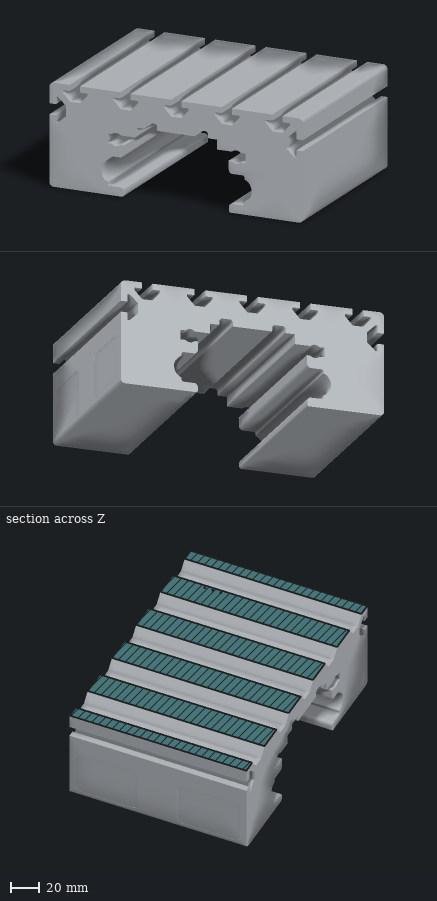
import cadquery as cq

width = 200.2
length = 140.0
height = 78.0
side_x = width / 2
top_corner_radius = 3.5
bottom_corner_radius = 3.2

slot_opening = 8.2
slot_cavity_width = 19.6
slot_floor_width = 7.8
slot_shoulder = 1.6
top_slot_count = 5
top_slot_pitch = 40.0
top_slot_lip = 4.6
top_slot_depth = 12.6
side_slot_lip = 5.0
side_slot_depth = 13.0
side_slot_z = height - 20.0

channel_half_width = 41.6
channel_top_z = 53.3
channel_top_half_width = 32.2
channel_step_radius = 0.6

groove_offset = top_slot_pitch / 2
groove_width = 10.0
groove_top_z = 58.3
groove_corner_radius = 2.0
groove_mouth_radius = 0.8

nut_slot_half_width = 54.7
nut_slot_height = 7.2
nut_slot_z = 42.2
nut_bore_offset = 47.5
nut_bore_radius = 5.0

upper_lip_draft = 0.5
upper_lip_radius = 2.8
lower_lip_top_radius = 2.6
lower_lip_bottom_radius = 1.5

pocket_z = 18.0
pocket_height = 22.5
pocket_half_width = 53.9
pocket_corner_radius = 1.5
pocket_back_half_width = 59.7
pocket_back_radius = 9.0

label_depth = 0.2
label_length = 49.2
label_height = 34.8
label_corner_radius = 5.0
label_spacing = 80.5
label_z = 22.0


def along_length(outline):
    """Extrude an XZ outline over the full length."""
    return outline.extrude(length / 2, both=True)


def box(x_min, x_max, z_min, z_max):
    """Full-length rectangular bar between the given limits."""
    outline = cq.Workplane("XZ").center((x_min + x_max) / 2, (z_min + z_max) / 2)
    return along_length(outline.rect(x_max - x_min, z_max - z_min))


def cylinder(x, z, radius):
    """Full-length round bar."""
    return along_length(cq.Workplane("XZ").center(x, z).circle(radius))


def both_sides(shape):
    """Join a shape on the +X side with its mirror image on the -X side."""
    return shape.union(shape.mirror("YZ"))


def round_edge(shape, x, z, radius):
    """Fillet the lengthwise edge that runs through (x, z)."""
    nearest = cq.selectors.NearestToPointSelector((x, 0, z))
    return shape.edges("|Y").edges(nearest).fillet(radius)


def make_block():
    block = box(-side_x, side_x, 0, height)
    block = block.edges("|Y and >Z").fillet(top_corner_radius)
    return block.edges("|Y and <Z").fillet(bottom_corner_radius)


def t_slot(lip, depth):
    """T-slot cutter that opens upward at the origin."""
    right_half = [
        (slot_opening / 2, 0),
        (slot_opening / 2, -lip),
        (slot_cavity_width / 2, -lip),
        (slot_cavity_width / 2, -lip - slot_shoulder),
        (slot_floor_width / 2, -depth),
    ]
    left_half = [(-x, z) for x, z in reversed(right_half)]
    return along_length(cq.Workplane("XZ").polyline(right_half + left_half).close())


def cut_top_slots(body):
    cutter = t_slot(top_slot_lip, top_slot_depth)
    for index in range(top_slot_count):
        x = (index - (top_slot_count - 1) / 2) * top_slot_pitch
        body = body.cut(cutter.translate((x, 0, height)))
    return body


def cut_side_slots(body):
    cutter = t_slot(side_slot_lip, side_slot_depth)
    cutter = cutter.rotate((0, 0, 0), (0, 1, 0), 90)
    return body.cut(both_sides(cutter.translate((side_x, 0, side_slot_z))))


def half_channel():
    """The +X half of the channel with its nut slot, pocket and ceiling groove."""
    slot_bottom_z = nut_slot_z - nut_slot_height / 2
    slot_top_z = nut_slot_z + nut_slot_height / 2
    pocket_bottom_z = pocket_z - pocket_height / 2
    pocket_top_z = pocket_z + pocket_height / 2
    groove_inner_x = groove_offset - groove_width / 2
    groove_outer_x = groove_offset + groove_width / 2

    outline = (
        cq.Workplane("XZ")
        .moveTo(0, 0)
        .lineTo(channel_half_width, 0)
        .lineTo(channel_half_width, pocket_bottom_z)
        .lineTo(pocket_half_width, pocket_bottom_z)
        .lineTo(pocket_half_width, pocket_top_z)
        .lineTo(channel_half_width, pocket_top_z)
        .lineTo(channel_half_width - upper_lip_draft, slot_bottom_z)
        .lineTo(nut_slot_half_width, slot_bottom_z)
        .lineTo(nut_slot_half_width, slot_top_z)
        .lineTo(channel_top_half_width, slot_top_z)
        .lineTo(channel_top_half_width, channel_top_z)
        .lineTo(groove_outer_x, channel_top_z)
        .lineTo(groove_outer_x, groove_top_z)
        .lineTo(groove_inner_x, groove_top_z)
        .lineTo(groove_inner_x, channel_top_z)
        .lineTo(0, channel_top_z)
        .close()
    )
    half = along_length(outline)

    rounded_edges = [
        (channel_half_width, pocket_bottom_z, lower_lip_top_radius),
        (channel_half_width, pocket_top_z, upper_lip_radius),
        (pocket_half_width, pocket_bottom_z, pocket_corner_radius),
        (pocket_half_width, pocket_top_z, pocket_corner_radius),
        (channel_top_half_width, slot_top_z, channel_step_radius),
        (groove_outer_x, channel_top_z, groove_mouth_radius),
        (groove_inner_x, channel_top_z, groove_mouth_radius),
        (groove_outer_x, groove_top_z, groove_corner_radius),
        (groove_inner_x, groove_top_z, groove_corner_radius),
    ]
    for x, z, radius in rounded_edges:
        half = round_edge(half, x, z, radius)

    pocket_back_x = pocket_back_half_width - pocket_back_radius
    half = half.union(cylinder(pocket_back_x, pocket_z, pocket_back_radius))
    return half.union(cylinder(nut_bore_offset, nut_slot_z, nut_bore_radius))


def cut_channel(body):
    body = body.cut(both_sides(half_channel()))
    for x in (-channel_half_width, channel_half_width):
        body = round_edge(body, x, 0, lower_lip_bottom_radius)
    return body


def cut_label_recesses(body):
    recesses = (
        cq.Workplane("YZ", origin=(-side_x, 0, label_z))
        .pushPoints([(-label_spacing / 2, 0), (label_spacing / 2, 0)])
        .rect(label_length, label_height)
        .extrude(label_depth)
        .edges("|X")
        .fillet(label_corner_radius)
    )
    return body.cut(recesses)


result = make_block()
result = cut_top_slots(result)
result = cut_side_slots(result)
result = cut_channel(result)
result = cut_label_recesses(result)